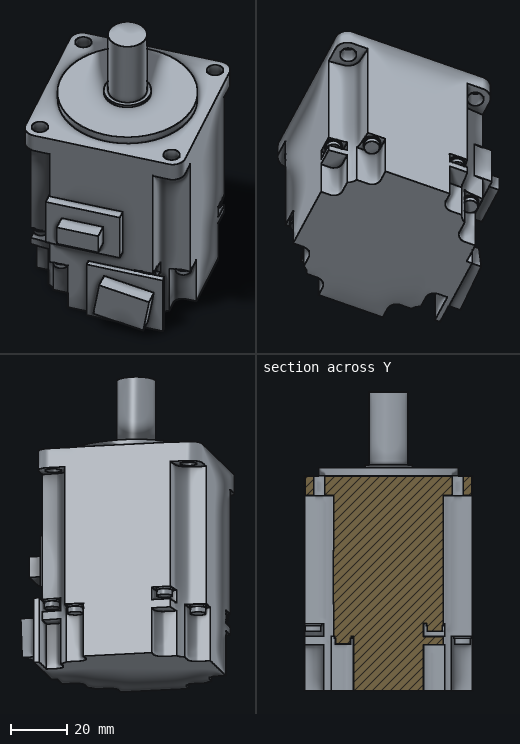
import cadquery as cq
import math

body_width = 60.0
half_width = body_width / 2
total_height = 106.6

flange_top = 76.6
flange_thickness = 7.0
flange_corner_radius = 4.7
flange_bottom = flange_top - flange_thickness
pilot_diameter = 50.0
pilot_height = 3.0
collar_diameter = 17.0
collar_height = 1.0
shaft_diameter = 14.0
bolt_hole_diameter = 5.9
bolt_hole_offset = 24.7

notch_width = 10.7
notch_flare = 5.0
notch_radius = 5.0

pocket_along = 17.5
pocket_corner_radius = 3.4
high_pocket_depth = 6.9
high_pocket_top = 24.0
low_pocket_depth = 7.6
low_pocket_top = 19.4
ledge_top = low_pocket_top
ledge_thickness = 3.0
ledge_bottom = ledge_top - ledge_thickness

washer_radius = 3.1
washer_overhang = 0.05
washer_height = 0.7
head_radius = 2.8
head_height = 2.0
high_screw_along = 13.4
high_screw_depth = washer_radius - washer_overhang
low_screw_along = 13.8
low_screw_depth = 3.6

upper_plate_left = -19.7
upper_plate_size = (27.8, 18.8)
upper_plate_bottom = 31.1
upper_plate_back = 26.5
upper_plate_front = 33.4
upper_plug_left = -13.8
upper_plug_size = (15.6, 7.6)
upper_plug_bottom = 36.4
upper_plug_front = 38.8

lower_plate_left = -4.8
lower_plate_size = (28.6, 23.7)
lower_plate_front = 32.1
lower_plug_center = (10.0, 11.7)
lower_plug_size = (19.0, 14.0)
lower_plug_front = 37.6
lower_plug_tilt = 9.0


def cylinder(diameter, bottom, top, x=0, y=0):
    return cq.Workplane("XY", origin=(x, y, bottom)).circle(diameter / 2).extrude(top - bottom)


def block(left, bottom, size, back, front):
    """Box on the -Y side; back and front are distances from the axis toward -Y."""
    width, height = size
    return cq.Workplane("XY").box(width, front - back, height, centered=False).translate((left, -front, bottom))


def corner_notch():
    """Notch in the (-X, -Y) corner: flared walls that meet in a rounded inner corner."""
    inner = notch_width / (1 + math.tan(math.radians(notch_flare)))
    return (
        cq.Workplane("XY")
        .polyline([(0, 0), (notch_width, 0), (inner, inner), (0, notch_width)])
        .close()
        .extrude(flange_bottom)
        .edges(cq.selectors.NearestToPointSelector((inner, inner, flange_bottom / 2)))
        .fillet(notch_radius)
        .translate((-half_width, -half_width, 0))
    )


def pocket(size_x, size_y, bottom, top):
    """Pocket at the (-X, -Y) corner, rounded at its inner corner."""
    return (
        cq.Workplane("XY")
        .box(size_x, size_y, top - bottom, centered=False)
        .edges("|Z and >X and >Y")
        .fillet(pocket_corner_radius)
        .translate((-half_width, -half_width, bottom))
    )


def screw(from_left, from_front, ceiling):
    x = from_left - half_width
    y = from_front - half_width
    washer_bottom = ceiling - washer_height
    washer = cylinder(2 * washer_radius, washer_bottom, ceiling, x, y)
    head = cylinder(2 * head_radius, washer_bottom - head_height, washer_bottom, x, y)
    return washer.union(head)


def at_corners(shape):
    """The four copies of a (-X, -Y) corner shape turned about the axis."""
    return [shape.rotate((0, 0, 0), (0, 0, 1), 90 * turn) for turn in range(4)]


body = cq.Workplane("XY").box(body_width, body_width, flange_bottom, centered=(True, True, False))
flange = (
    cq.Workplane("XY", origin=(0, 0, flange_bottom))
    .rect(body_width, body_width)
    .extrude(flange_thickness)
    .edges("|Z")
    .fillet(flange_corner_radius)
    .faces(">Z")
    .workplane()
    .rect(2 * bolt_hole_offset, 2 * bolt_hole_offset, forConstruction=True)
    .vertices()
    .hole(bolt_hole_diameter)
)

corner_cuts = [
    corner_notch(),
    pocket(high_pocket_depth, pocket_along, 0, ledge_bottom),
    pocket(high_pocket_depth, pocket_along, ledge_top, high_pocket_top),
    pocket(pocket_along, low_pocket_depth, 0, low_pocket_top),
]
for corner_cut in corner_cuts:
    for cut in at_corners(corner_cut):
        body = body.cut(cut)

corner_screws = [
    screw(high_screw_depth, high_screw_along, high_pocket_top),
    screw(low_screw_along, low_screw_depth, low_pocket_top),
]
for corner_screw in corner_screws:
    for fitted_screw in at_corners(corner_screw):
        body = body.union(fitted_screw)

pilot_top = flange_top + pilot_height
pilot = cylinder(pilot_diameter, flange_top, pilot_top)
collar = cylinder(collar_diameter, pilot_top, pilot_top + collar_height)
shaft = cylinder(shaft_diameter, pilot_top, total_height)

upper_plate = block(
    upper_plate_left, upper_plate_bottom, upper_plate_size, upper_plate_back, upper_plate_front
)
upper_plug = block(
    upper_plug_left, upper_plug_bottom, upper_plug_size, upper_plate_front, upper_plug_front
)
lower_plate = block(lower_plate_left, 0, lower_plate_size, half_width, lower_plate_front)
plug_x, plug_z = lower_plug_center
lower_plug = (
    cq.Workplane("XZ", origin=(plug_x, -lower_plate_front, plug_z))
    .rect(*lower_plug_size)
    .extrude(lower_plug_front - lower_plate_front)
    .rotate((plug_x, 0, plug_z), (plug_x, 1, plug_z), lower_plug_tilt)
)

result = body
for piece in (flange, pilot, collar, shaft, upper_plate, upper_plug, lower_plate, lower_plug):
    result = result.union(piece)